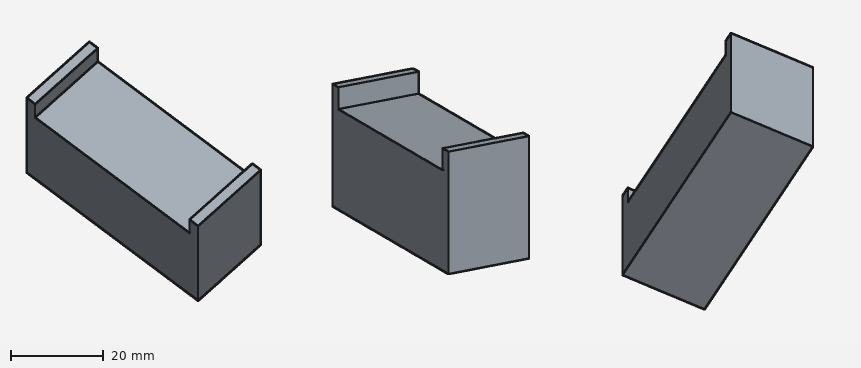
import cadquery as cq

length = 50.0
width = 20.0
body_height = 23.0
wall_height = 5.0
wall_thickness = 2.5


def make_body():
    """Solid block standing on the XY plane, centred in X and Y."""
    return cq.Workplane("XY").box(length, width, body_height, centered=(True, True, False))


def make_end_wall(side):
    """Full-width upright wall, flush with the end of the body; side is -1 or +1 along X."""
    center_x = side * (length - wall_thickness) / 2
    return (
        cq.Workplane("XY", origin=(center_x, 0, body_height))
        .box(wall_thickness, width, wall_height, centered=(True, True, False))
    )


result = make_body()
for side in (-1, 1):
    result = result.union(make_end_wall(side))
result = result.clean()